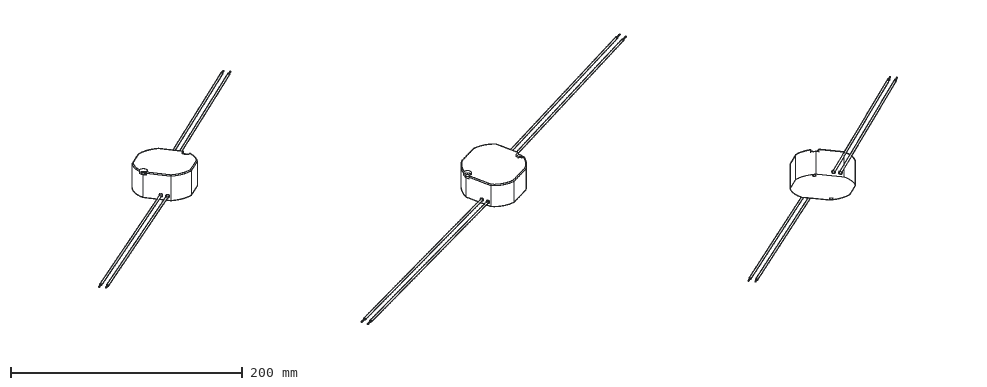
import cadquery as cq
import math

housing_width = 53.0
housing_depth = 51.0
housing_height = 24.5
housing_diameter = 57.0
top_chamfer = 1.0

screw_hole_diameter = 3.2
screw_x = 13.0
screw_y = 22.0
notch_width = 6.8
notch_depth = 2.5

total_length = 451
wire_diameter = 2.0
conductor_diameter = 1.0
bare_length = 5.0
wire_positions = (3.4, 9.5)
wire_exit_height = 3.95
wire_slope = 1.0
wire_embedded = 4.5
entry_hole_diameter = 3.2
entry_hole_depth = 1.5


def make_housing():
    """Cylinder trimmed by the flat sides, with the top rim chamfered."""
    cylinder = cq.Workplane("XY").circle(housing_diameter / 2).extrude(housing_height)
    block = cq.Workplane("XY").rect(housing_width, housing_depth).extrude(housing_height)
    return cylinder.intersect(block).faces(">Z").edges().chamfer(top_chamfer)


def make_screw_cut():
    """Notch and through hole of the screw on the -Y side."""
    notch_floor = housing_height - notch_depth
    notch_end = cq.Workplane("XY", origin=(-screw_x, -screw_y, notch_floor))
    round_end = notch_end.circle(notch_width / 2).extrude(notch_depth)
    open_side = notch_end.rect(notch_width, housing_depth).extrude(notch_depth)
    open_side = open_side.translate((0, -housing_depth / 2, 0))
    hole = (
        cq.Workplane("XY", origin=(-screw_x, -screw_y, 0))
        .circle(screw_hole_diameter / 2)
        .extrude(housing_height)
    )
    return round_end.union(open_side).union(hole)


def make_entry_hole(x):
    """Blind clearance hole around a lead in the -Y side."""
    side = cq.Workplane("XZ", origin=(x, -housing_depth / 2, wire_exit_height))
    return side.circle(entry_hole_diameter / 2).extrude(-entry_hole_depth)


def make_wire(x):
    """Straight lead leaving the -Y side, with its tip at half of the total length."""
    slope = math.radians(wire_slope)
    exit_y = housing_depth / 2
    tip_drop = conductor_diameter / 2 * math.sin(slope)
    free_length = (total_length / 2 - exit_y - tip_drop) / math.cos(slope)
    direction = cq.Vector(0, -math.cos(slope), math.sin(slope))
    exit_point = cq.Vector(x, -exit_y, wire_exit_height)
    start = exit_point - direction * wire_embedded

    def rod(diameter, length):
        return cq.Workplane(cq.Solid.makeCylinder(diameter / 2, length, start, direction))

    full_length = wire_embedded + free_length
    insulation = rod(wire_diameter, full_length - bare_length)
    conductor = rod(conductor_diameter, full_length)
    return insulation.union(conductor)


def turned(shape):
    """The same shape turned half a revolution about the vertical axis."""
    half_turn = 180
    return shape.rotate((0, 0, 0), (0, 0, 1), half_turn)


screw_cut = make_screw_cut()
result = make_housing().cut(screw_cut).cut(turned(screw_cut))
for wire_x in wire_positions:
    entry_hole = make_entry_hole(wire_x)
    result = result.cut(entry_hole).cut(turned(entry_hole))
    wire = make_wire(wire_x)
    result = result.union(wire).union(turned(wire))